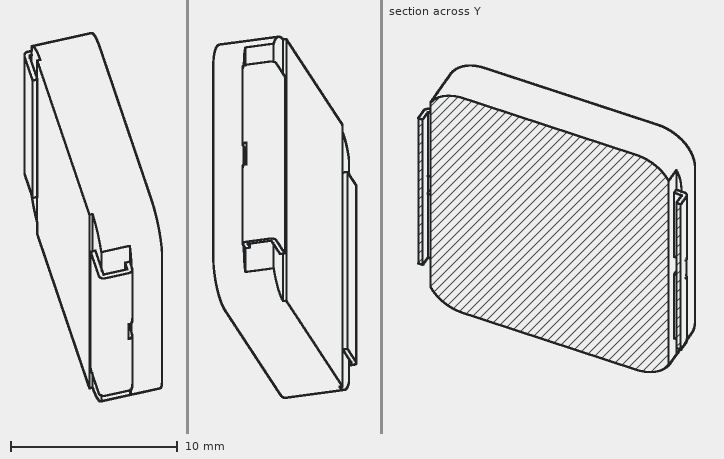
import cadquery as cq

overall_width = 17.5
overall_depth = 4.0
overall_height = 17.6

body_width = 16.55
corner_radius = 2.5
rear_depth = 1.92
front_block_width = 15.88
strip_width = 11.9
strip_height = 0.2

sheet = 0.3
terminal_height = 11.9
foot_length = 2.15
notch_height = 1.45

back_y = overall_depth / 2
step_y = back_y - rear_depth
foot_y = -overall_depth / 2
front_y = foot_y + sheet
strip_y = front_y - strip_height


def rounded_block(near_y, far_y):
    """Full body outline with rounded corners, between two Y positions."""
    return (
        cq.Workplane("XY")
        .box(body_width, far_y - near_y, overall_height)
        .edges("|Y")
        .fillet(corner_radius)
        .translate((0, (near_y + far_y) / 2, 0))
    )


def trimmed_block(near_y, far_y, width):
    """Body outline cut by flat sides to the given width."""
    flat_sides = cq.Workplane("XY").box(width, 2 * overall_depth, overall_height)
    return rounded_block(near_y, far_y).intersect(flat_sides)


def left_terminal():
    """C-shaped strip with outer bends of one sheet thickness and a notched rear bend."""
    outer_x = -overall_width / 2
    inner_x = outer_x + sheet
    body_x = -front_block_width / 2
    outer_bend = sheet
    profile = (
        cq.Workplane("XY")
        .moveTo(body_x, step_y)
        .lineTo(outer_x + outer_bend, step_y)
        .radiusArc((outer_x, step_y - outer_bend), -outer_bend)
        .lineTo(outer_x, foot_y + outer_bend)
        .radiusArc((outer_x + outer_bend, foot_y), -outer_bend)
        .lineTo(outer_x + foot_length, foot_y)
        .lineTo(outer_x + foot_length, front_y)
        .lineTo(inner_x, front_y)
        .lineTo(inner_x, step_y - sheet)
        .lineTo(body_x, step_y - sheet)
        .close()
    )
    terminal = profile.extrude(terminal_height / 2, both=True)
    notch = (
        cq.Workplane("XY")
        .box(body_x - outer_x, sheet, notch_height)
        .translate(((outer_x + body_x) / 2, step_y - sheet / 2, 0))
    )
    return terminal.cut(notch)


body = (
    rounded_block(step_y, back_y)
    .union(trimmed_block(front_y, step_y, front_block_width))
    .union(trimmed_block(strip_y, front_y, strip_width))
)
terminal = left_terminal()
result = body.union(terminal).union(terminal.mirror("YZ"))